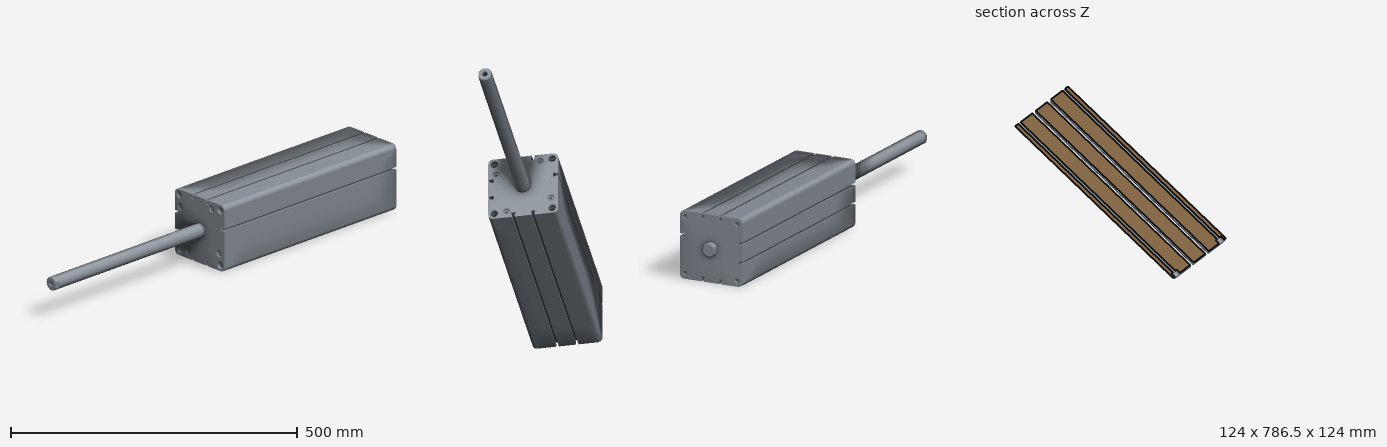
import cadquery as cq
import math

body_side = 124.0
body_length = 416.5
corner_radius = 8.5

total_length = 786.5
rod_diameter = 25.0
rod_chamfer = 1.5
rear_projection = 10.0
wrench_flat_length = 8.5
wrench_flat_width = 22.0
rod_bore_diameter = 27.0
rod_bore_depth = 3.0
rod_thread_core = 10.11
rod_thread_depth = 20.0
drill_point_angle = 118.0

groove_offset = 17.5
groove_depth = 9.0
neck_width = 4.5
neck_depth = 5.2
chamber_width = 7.5

corner_hole_offset = 51.5
corner_hole_diameter = 8.38
counterbore_diameter = 13.5
counterbore_depth = 9.0

port_offset = 30.0
port_edge_distance = 13.0
port_diameter = 11.45
port_mouth_diameter = 13.5
port_depth = 3.0
passage_diameter = 3.5
passage_depth = 8.0

vent_offset = 51.0
vent_diameter = 1.5
vent_depth = 5.0

half_side = body_side / 2
rod_rear = body_length + rear_projection
rod_front = rod_rear - total_length


def cylinder(diameter, x, z, y_start, length):
    """Cylinder parallel to Y, starting at y_start and running toward +Y."""
    profile = cq.Workplane("XZ", origin=(x, y_start, z)).circle(diameter / 2)
    return profile.extrude(-length)


def cone(start_diameter, end_diameter, x, z, y_start, length):
    """Cone parallel to Y, starting at y_start and running toward +Y."""
    base = cq.Vector(x, y_start, z)
    axis = cq.Vector(0, 1, 0)
    return cq.Workplane(obj=cq.Solid.makeCone(start_diameter / 2, end_diameter / 2, length, base, axis))


def about_y(shape, angle):
    """Turn a shape about the rod axis."""
    return shape.rotate((0, 0, 0), (0, 1, 0), angle)


def make_barrel():
    block = cq.Workplane("XZ").rect(body_side, body_side).extrude(-body_length)
    return block.edges("|Y").fillet(corner_radius)


def make_groove(x):
    """Full-length groove in the +Z side."""
    neck_bottom = half_side - neck_depth
    groove_bottom = half_side - groove_depth
    right_half = [
        (x, half_side),
        (x + neck_width / 2, half_side),
        (x + neck_width / 2, neck_bottom),
        (x + chamber_width / 2, neck_bottom),
        (x + chamber_width / 2, groove_bottom),
    ]
    left_half = [(2 * x - px, pz) for px, pz in reversed(right_half[1:])]
    return cq.Workplane("XZ").polyline(right_half + left_half).close().extrude(-body_length)


def cut_grooves(body):
    """Two grooves on the top, bottom and -X sides, and only the upper one on the +X side."""
    top, right, bottom, left = 0, 90, 180, 270
    for side_angle in (top, bottom, left):
        for x in (-groove_offset, groove_offset):
            body = body.cut(about_y(make_groove(x), side_angle))
    return body.cut(about_y(make_groove(-groove_offset), right))


def cut_corner_holes(body):
    for x in (-corner_hole_offset, corner_hole_offset):
        for z in (-corner_hole_offset, corner_hole_offset):
            body = body.cut(cylinder(corner_hole_diameter, x, z, 0, body_length))
            body = body.cut(cylinder(counterbore_diameter, x, z, 0, counterbore_depth))
    return body


def cut_ports(body):
    """Four ports in a pinwheel pattern around the rod."""
    x = port_offset
    z = half_side - port_edge_distance
    mouth_depth = (port_mouth_diameter - port_diameter) / 2
    port = cylinder(port_diameter, x, z, 0, port_depth)
    port = port.union(cone(port_mouth_diameter, port_diameter, x, z, 0, mouth_depth))
    port = port.union(cylinder(passage_diameter, x, z, port_depth, passage_depth))
    for angle in (0, 90, 180, 270):
        body = body.cut(about_y(port, angle))
    return body


def cut_wrench_flats(rod, y_start):
    flat_zone = cylinder(2 * rod_diameter, 0, 0, y_start, wrench_flat_length)
    kept = cq.Workplane("XZ", origin=(0, y_start, 0)).rect(wrench_flat_width, rod_diameter)
    return rod.cut(flat_zone.cut(kept.extrude(-wrench_flat_length)))


def make_rod():
    rod = cylinder(rod_diameter, 0, 0, rod_front, total_length)
    rod = rod.faces("<Y or >Y").chamfer(rod_chamfer)
    rod = cut_wrench_flats(rod, rod_front)
    rod = cut_wrench_flats(rod, rod_rear - wrench_flat_length)
    thread_end = rod_front + rod_thread_depth
    point_length = rod_thread_core / 2 / math.tan(math.radians(drill_point_angle / 2))
    rod = rod.cut(cylinder(rod_thread_core, 0, 0, rod_front, rod_thread_depth))
    return rod.cut(cone(rod_thread_core, 0, 0, 0, thread_end, point_length))


def cut_rod_bore(body):
    """Shallow clearance around the rod in the front face."""
    return body.cut(cylinder(rod_bore_diameter, 0, 0, 0, rod_bore_depth))


def cut_vent(body):
    return body.cut(cylinder(vent_diameter, vent_offset, 0, 0, vent_depth))


barrel = make_barrel()
barrel = cut_grooves(barrel)
barrel = cut_corner_holes(barrel)
barrel = cut_ports(barrel)
barrel = cut_rod_bore(barrel)
barrel = cut_vent(barrel)
result = barrel.union(make_rod())